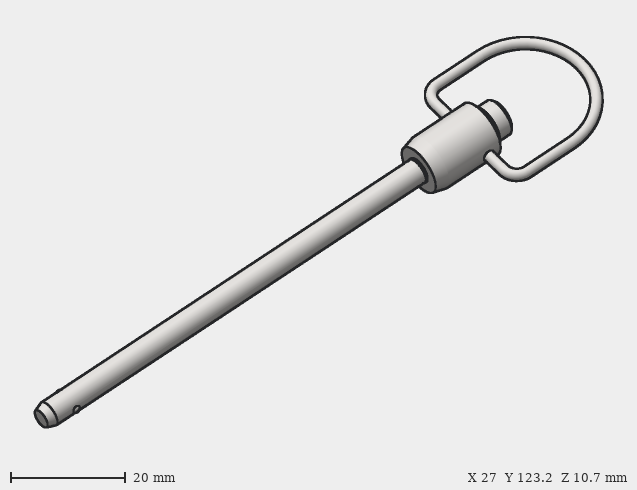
import cadquery as cq


SHANK_RADIUS = 2.4
SHANK_LENGTH = 85.5
TIP_RADIUS = 1.79
TIP_LENGTH = 1.7
SHOULDER_RADIUS = 2.5
SHOULDER_LENGTH = 0.4

BALL_RADIUS = 0.92
BALL_OFFSET = 1.8
BALL_FROM_TIP = 6.0

BODY_RADIUS = 5.36
BODY_LENGTH = 14.2
BODY_END_RADIUS = 4.7
BODY_TAPER_LENGTH = 2.6
COLLAR_BASE_RADIUS = 4.4
COLLAR_TOP_RADIUS = 3.8
COLLAR_LENGTH = 1.1
BUTTON_RADIUS = 3.6
BUTTON_LENGTH = 3.3
BUTTON_CHAMFER = 0.5

RING_WIDTH = 27.0
OVERALL_LENGTH = 123.2
WIRE_RADIUS = 1.1
BEND_RADIUS = 3.0
RING_BAR_Y = 11.5

tip_y = -SHANK_LENGTH
collar_top_y = BODY_LENGTH + COLLAR_LENGTH
button_top_y = collar_top_y + BUTTON_LENGTH
ring_half_width = RING_WIDTH / 2 - WIRE_RADIUS
ring_top_y = OVERALL_LENGTH - SHANK_LENGTH - WIRE_RADIUS
ring_arc_y = ring_top_y - ring_half_width


def make_turned_parts():
    """Shank, body, collar and button revolved together about the Y axis."""
    profile = (
        cq.Workplane("XY")
        .moveTo(0, tip_y)
        .lineTo(TIP_RADIUS, tip_y)
        .lineTo(SHANK_RADIUS, tip_y + TIP_LENGTH)
        .lineTo(SHANK_RADIUS, -SHOULDER_LENGTH)
        .lineTo(SHOULDER_RADIUS, -SHOULDER_LENGTH)
        .lineTo(SHOULDER_RADIUS, 0)
        .lineTo(BODY_END_RADIUS, 0)
        .lineTo(BODY_RADIUS, BODY_TAPER_LENGTH)
        .lineTo(BODY_RADIUS, BODY_LENGTH)
        .lineTo(COLLAR_BASE_RADIUS, BODY_LENGTH)
        .lineTo(COLLAR_TOP_RADIUS, collar_top_y)
        .lineTo(BUTTON_RADIUS, collar_top_y)
        .lineTo(BUTTON_RADIUS, button_top_y - BUTTON_CHAMFER)
        .lineTo(BUTTON_RADIUS - BUTTON_CHAMFER, button_top_y)
        .lineTo(0, button_top_y)
        .close()
    )
    return profile.revolve(360, (0, 0, 0), (0, 1, 0))


def make_half_ring():
    """Right half of the wire ring, from the body centre round to the top."""
    path = (
        cq.Workplane("XY")
        .moveTo(0, RING_BAR_Y)
        .lineTo(ring_half_width - BEND_RADIUS, RING_BAR_Y)
        .tangentArcPoint((ring_half_width, RING_BAR_Y + BEND_RADIUS), relative=False)
        .lineTo(ring_half_width, ring_arc_y)
        .tangentArcPoint((0, ring_top_y), relative=False)
    )
    return cq.Workplane("YZ", origin=(0, RING_BAR_Y, 0)).circle(WIRE_RADIUS).sweep(path)


def make_balls():
    """Two locking balls standing proud on opposite sides of the shank."""
    ball_y = tip_y + BALL_FROM_TIP
    centres = [(-BALL_OFFSET, ball_y), (BALL_OFFSET, ball_y)]
    return cq.Workplane("XY").pushPoints(centres).sphere(BALL_RADIUS)


half_ring = make_half_ring()
ring = half_ring.union(half_ring.mirror("YZ"))
result = make_turned_parts().union(ring).union(make_balls())